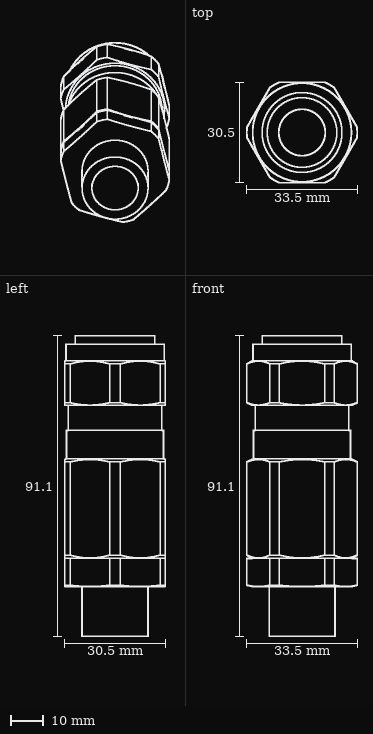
import cadquery as cq
import math

stub_top = 15.0
lower_nut_top = 23.6
body_hex_top = 53.8
sleeve_top = 62.4
neck_top = 70.0
upper_nut_top = 83.5
collar_top = 88.55
total_height = 91.1

stub_diameter = 20.0
sleeve_diameter = 29.5
neck_diameter = 28.4
collar_diameter = 29.9
rim_diameter = 24.2
bore_diameter = 14.0
socket_diameter = 21.1
socket_depth = 20.95

across_flats = 30.5
across_corners = 33.5
chamfer_inset = 1.7
body_top_inset = (across_corners - sleeve_diameter) / 2
chamfer_height = 1.0
upper_nut_bottom_chamfer = 0.8
lower_nut_chamfer = 0.5


def cylinder(bottom, top, diameter):
    return cq.Workplane("XY").workplane(offset=bottom).circle(diameter / 2).extrude(top - bottom)


def hexagon(bottom, top, bottom_chamfer, top_chamfer, top_inset=chamfer_inset):
    """Hexagonal section with rounded corners; a chamfer height of 0 leaves that end square."""
    sharp_corners = across_flats / math.cos(math.pi / 6)
    prism = cq.Workplane("XY").workplane(offset=bottom).polygon(6, sharp_corners).extrude(top - bottom)
    envelope = cylinder(bottom, top, across_corners)
    if bottom_chamfer > 0:
        envelope = envelope.faces("<Z").chamfer(bottom_chamfer, chamfer_inset)
    if top_chamfer > 0:
        envelope = envelope.faces(">Z").chamfer(top_chamfer, top_inset)
    return prism.intersect(envelope)


result = (
    cylinder(0, stub_top, stub_diameter)
    .union(hexagon(stub_top, lower_nut_top, lower_nut_chamfer, 0))
    .union(hexagon(lower_nut_top, body_hex_top, chamfer_height, chamfer_height, body_top_inset))
    .union(cylinder(body_hex_top, sleeve_top, sleeve_diameter))
    .union(cylinder(sleeve_top, neck_top, neck_diameter))
    .union(hexagon(neck_top, upper_nut_top, upper_nut_bottom_chamfer, chamfer_height))
    .union(cylinder(upper_nut_top, collar_top, collar_diameter))
    .union(cylinder(collar_top, total_height, rim_diameter))
)

result = result.cut(cylinder(0, total_height, bore_diameter))
result = result.cut(cylinder(total_height - socket_depth, total_height, socket_diameter))